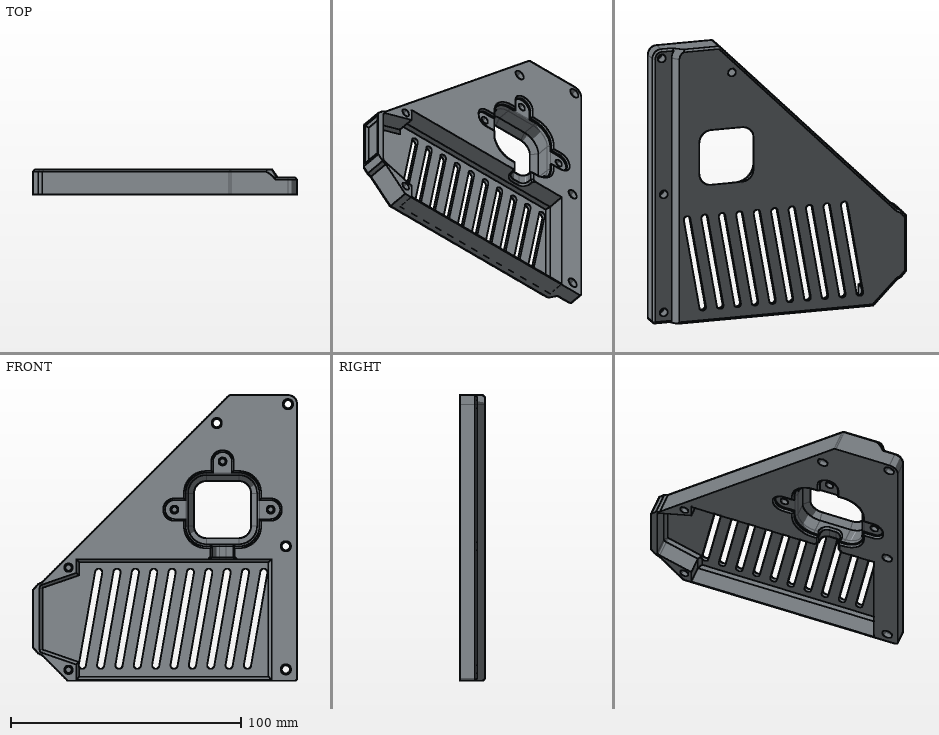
import cadquery as cq
import math

width = 114.82
height = 124.2
thickness = 11.0
back_chamfer = 1.0

nose_z = 27.0
nose_half_flat = 12.5
nose_shoulder_x = 2.4
nose_shoulder_half = 15.1
flank_start_x = 4.2
flank_foot_x = 15.2
flank_start_half = nose_z - (flank_foot_x - flank_start_x)
top_corner_radius = 4.0
bottom_corner_radius = 1.2
flank_corner_radius = 1.2

step_drop = 3.5
riser_lean = 34.0
land_right = 103.9
land_top = height - back_chamfer * math.tan(math.radians(riser_lean))
land_radius = 3.4

pocket_left = 18.8
pocket_right = 103.7
pocket_bottom = 0.5
pocket_top = 52.9
pocket_nose_x = 2.9
pocket_mouth_half = 19.9
pocket_nose_half = 14.4
pocket_nose_radius = 1.6
pocket_floor_y = 9.3
pocket_floor_chamfer = 1.4

slot_count = 10
slot_pitch = 7.97
slot_first_x = 25.05
slot_width = 3.0
slot_tilt = 10.0
slot_length = 44.0

opening_x = 82.4
opening_z = 74.4
opening_flat_half = 7.1
opening_half = 15.0
opening_back_half = 12.35
ear_floor_y = 1.5
ear_half_width = 4.1
ear_reach = 20.9
front_chamfer = 0.8
opening_rim_half = 16.0

channel_half = 4.55
channel_depth = 5.5
channel_fillet = 3.1
channel_flare = 0.9

through_hole_diameter = 3.5
through_hole_places = [(110.8, 120.2), (79.9, 112.0), (109.9, 58.5), (109.9, 5.0)]
corner_hole_diameter = 2.7
corner_hole_x = 15.5
corner_hole_half_gap = 22.2
corner_hole_depth = 8.0
ear_hole_diameter = 2.5
ear_hole_depth = 6.0
hole_mouth_widening = 0.5
hole_mouth_depth = 2.0
hole_mouth_taper = math.degrees(math.atan(hole_mouth_widening / hole_mouth_depth))

recess_y_min = 0.9
recess_y_max = 9.0
recess_half_height = 11.3
recess_depth = 1.2


def plane_at(y):
    """Workplane parallel to the front face; a negative extrusion goes into the panel."""
    return cq.Workplane("XZ", origin=(0, y, 0))


def make_slab(depth):
    """Prism over the full outline, with its back rim chamfered."""
    outline = [
        (0, nose_z - nose_half_flat),
        (nose_shoulder_x, nose_z - nose_shoulder_half),
        (flank_start_x, nose_z - flank_start_half),
        (flank_foot_x, 0),
        (width, 0),
        (width, height),
        (flank_start_x + height - nose_z - flank_start_half, height),
        (flank_start_x, nose_z + flank_start_half),
        (nose_shoulder_x, nose_z + nose_shoulder_half),
        (0, nose_z + nose_half_flat),
    ]
    slab = plane_at(0).polyline(outline).close().extrude(-depth)
    slab = slab.edges("|Y").edges(">Z").edges("<X").fillet(flank_corner_radius)
    slab = slab.edges("|Y and >X and >Z").fillet(top_corner_radius)
    slab = slab.edges("|Y and >X and <Z").fillet(bottom_corner_radius)
    return slab.faces(">Y").edges().chamfer(back_chamfer)


def make_body():
    """Thin slab over the full outline, plus a thick part that ends in a leaning riser."""
    land = (
        plane_at(thickness)
        .moveTo(-width, -height)
        .lineTo(land_right, -height)
        .lineTo(land_right, land_top - land_radius)
        .radiusArc((land_right - land_radius, land_top), -land_radius)
        .lineTo(-width, land_top)
        .close()
        .extrude(step_drop + back_chamfer, taper=-riser_lean)
    )
    return make_slab(thickness - step_drop).union(make_slab(thickness).intersect(land))


def make_pocket():
    outline = [
        (pocket_left, pocket_bottom),
        (pocket_right, pocket_bottom),
        (pocket_right, pocket_top),
        (pocket_left, pocket_top),
        (pocket_left, nose_z + pocket_mouth_half),
        (pocket_nose_x, nose_z + pocket_nose_half),
        (pocket_nose_x, nose_z - pocket_nose_half),
        (pocket_left, nose_z - pocket_mouth_half),
    ]
    pocket = plane_at(0).polyline(outline).close().extrude(-pocket_floor_y)
    pocket = pocket.edges("|Y and <X").fillet(pocket_nose_radius)
    return pocket.faces(">Y").edges().chamfer(pocket_floor_chamfer)


def make_vents():
    centres = [(slot_first_x + index * slot_pitch, nose_z) for index in range(slot_count)]
    return plane_at(0).pushPoints(centres).slot2D(slot_length, slot_width, 90 - slot_tilt).extrude(-thickness)


def opening_section(half, y, depth, taper=0):
    """Length of the opening's rounded square bore; all sections share their corner centres."""
    square = cq.Sketch().rect(2 * half, 2 * half).vertices().fillet(half - opening_flat_half)
    return plane_at(y).center(opening_x, opening_z).placeSketch(square).extrude(-depth, taper=taper)


def make_opening():
    rim = opening_section(opening_rim_half + front_chamfer, 0, front_chamfer, taper=45)
    seat = opening_section(opening_rim_half, 0, ear_floor_y)
    back_taper = opening_half - opening_back_half
    bore = opening_section(opening_half, ear_floor_y, thickness - back_taper - ear_floor_y)
    throat = opening_section(opening_half, thickness - back_taper, back_taper, taper=45)
    return rim.union(seat).union(make_lip()).union(bore).union(throat)


def make_lip():
    """Void above the rounded lip between the ear seats and the bore: convex quarter rounds."""
    lip_radius = opening_rim_half - opening_half
    block = opening_section(opening_rim_half, ear_floor_y, lip_radius)
    frame = opening_section(2 * opening_half, ear_floor_y, thickness - ear_floor_y)
    frame = frame.cut(opening_section(opening_half, ear_floor_y, thickness - ear_floor_y))
    inner_edges = cq.selectors.BoxSelector(
        (opening_x - opening_rim_half, 0, opening_z - opening_rim_half),
        (opening_x + opening_rim_half, ear_floor_y + lip_radius, opening_z + opening_rim_half),
        boundingbox=True,
    )
    frame = frame.faces("<Y").edges(inner_edges).fillet(lip_radius)
    return block.cut(frame)


def make_screw_hole(x, z, diameter, y, depth):
    """Hole entering at the given Y, with a steep conical mouth."""
    bore = plane_at(y).center(x, z).circle(diameter / 2).extrude(-depth)
    mouth_radius = diameter / 2 + hole_mouth_widening
    mouth = plane_at(y).center(x, z).circle(mouth_radius).extrude(-hole_mouth_depth, taper=hole_mouth_taper)
    return bore.union(mouth)


def ear_outline(half_width):
    """Upward ear: straight sides from the opening's axis, with a round end about the screw."""
    return (
        plane_at(0)
        .center(opening_x, opening_z)
        .moveTo(-half_width, 0)
        .lineTo(half_width, 0)
        .lineTo(half_width, ear_reach)
        .threePointArc((0, ear_reach + half_width), (-half_width, ear_reach))
        .close()
    )


def make_ear(angle):
    seat = ear_outline(ear_half_width).extrude(-ear_floor_y)
    rim = ear_outline(ear_half_width + front_chamfer).extrude(-front_chamfer, taper=45)
    screw = make_screw_hole(opening_x, opening_z + ear_reach, ear_hole_diameter, ear_floor_y, ear_hole_depth)
    axis_start = (opening_x, 0, opening_z)
    axis_end = (opening_x, 1, opening_z)
    return seat.union(rim).union(screw).rotate(axis_start, axis_end, angle)


def channel_profile(z):
    return (
        cq.Workplane("XY", origin=(opening_x, 0, z))
        .moveTo(-channel_half - front_chamfer, 0)
        .lineTo(-channel_half, front_chamfer)
        .lineTo(-channel_half, channel_depth - channel_fillet)
        .radiusArc((channel_fillet - channel_half, channel_depth), channel_fillet)
        .lineTo(channel_half - channel_fillet, channel_depth)
        .radiusArc((channel_half, channel_depth - channel_fillet), channel_fillet)
        .lineTo(channel_half, front_chamfer)
        .lineTo(channel_half + front_chamfer, 0)
        .close()
    )


def make_channel():
    """Channel of constant section whose two ends flare at 45 degrees."""
    flare_bottom = pocket_top + channel_flare
    flare_top = opening_z - opening_half - channel_flare
    channel = channel_profile(pocket_top).extrude(flare_top + channel_flare - pocket_top)
    lower_flare = channel_profile(flare_bottom).extrude(-channel_flare, taper=-45)
    upper_flare = channel_profile(flare_top).extrude(channel_flare, taper=-45)
    return channel.union(lower_flare).union(upper_flare)


def make_recess():
    return (
        cq.Workplane("YZ", origin=(0, (recess_y_min + recess_y_max) / 2, nose_z))
        .rect(recess_y_max - recess_y_min, 2 * recess_half_height)
        .extrude(recess_depth, taper=45)
    )


result = make_body()
result = result.cut(make_pocket()).cut(make_vents()).cut(make_opening())
for ear_angle in (-90, 0, 90):
    result = result.cut(make_ear(ear_angle))
result = result.cut(make_channel()).cut(make_recess())
for hole_x, hole_z in through_hole_places:
    result = result.cut(make_screw_hole(hole_x, hole_z, through_hole_diameter, 0, thickness))
for side in (-1, 1):
    hole_z = nose_z + side * corner_hole_half_gap
    result = result.cut(make_screw_hole(corner_hole_x, hole_z, corner_hole_diameter, 0, corner_hole_depth))